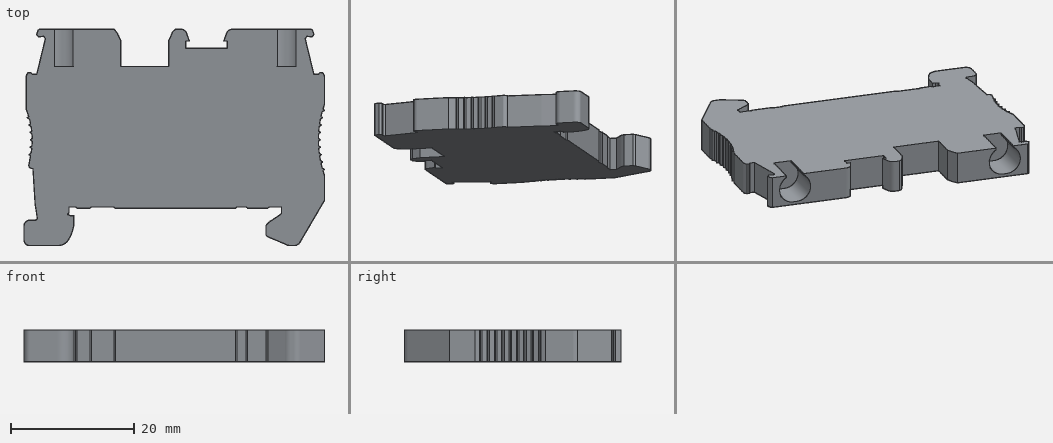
import cadquery as cq
import math

thickness = 5.2
height = 35.2
half_width = 24.25
foot_left = -24.6

corner_inset = 1 - math.sqrt(0.5)

grip_y = 17.2
grip_valley = 23.27
right_grip_half_span = 5.75
left_grip_end = (-23.6, 14.3)
left_grip_half_span = 4.95
rib_pitch = 1.2
rib_height = 0.3
rib_width = 0.44
rib_root = 0.2
right_rib_indices = range(-4, 5)
left_rib_indices = range(-2, 4)

ledge_x = -23.82
ledge_y = 12.52
ledge_radius = 0.55
flank_top_x = -23.15
flank_break = (-22.8, 6.8)
flank_bottom_x = -22.45
flank_bottom_radius = 0.35

foot_top = 4.15
foot_radius = 0.95
foot_toe_start = -19.1
foot_toe_mid = (-17.35, 0.95)
foot_right = -16.5
foot_toe_bulge = (-16.82, 2.02)
foot_toe_end = 3.2
foot_lip = 4.9
foot_notch_tip = (-17.55, 5.1)
foot_notch_top = 5.35

seat_half_width = 17.25
seat_high = 6.25
seat_pad = 6.08
seat_middle = 6.05
pad_left = (-15.95, -13.9)
pad_right = (11.75, 15.0)
middle_half_width = 9.75
land_slope = 0.25

hook_neck = 5.2
hook_shoulder = (15.7, 4.15)
hook_shoulder_mid = (15.1, 3.72)
hook_left = 14.7
hook_left_top = 3.25
hook_left_bottom = 1.75
hook_corner = (15.05, 1.42)
hook_heel_start = (17.9, 0.22)
hook_heel_flat_start = 18.7
hook_toe_corner = 19.94
hook_toe_tangent = 0.65
hook_side_y = 7.35

cut_overrun = 1.0

tab_top_x = 22.0
tab_tip = (22.55, 34.3)
tab_round_mid = (22.27, 35.03)
tab_round_end = (22.4, 34.72)
tab_under = (22.2, 33.9)
tab_root = (21.4, 34.0)
tab_throat = (21.12, 33.65)
shelf_inner = (22.52, 27.87)
shelf_step_x = 23.25
shelf_crest = (23.5, 28.15)
shelf_round_start = (23.9, 28.1)
shelf_round_mid = (24.14, 27.8)
shelf_round_end_y = 27.28

deep_floor = 29.15
notch_left = -8.85
notch_right = -1.08
flare_y = 33.3
flare_left = (-9.4, 34.5)
flare_left_top = -9.95
flare_right = (-0.45, 34.75)
flare_right_top = 0.05

pocket_floor = 32.1
pocket_x = 5.08
pocket_half_width = 3.35
pocket_half_mouth = 4.2
barb_y = 33.25
barb_length = 0.57
barb_rise = 1.25
barb_lean = 0.45

channel_x = 18.1
channel_opening = 3.0
channel_lip = 0.3
channel_radius = 2.35
channel_flat = 0.65


def extrude(path):
    """Close a path and extrude it through the full thickness."""
    return path.close().extrude(thickness)


def add_right_side(path):
    """Continue from the upper right corner down the concave grip to the hook."""
    return (
        path.lineTo(half_width, grip_y + right_grip_half_span)
        .threePointArc((grip_valley, grip_y), (half_width, grip_y - right_grip_half_span))
        .lineTo(half_width, hook_side_y)
    )


def add_hook(path):
    """Continue around the right hook up to the rail seat."""
    slope = math.atan2(hook_side_y, half_width - hook_toe_corner)
    toe_x = hook_toe_corner + hook_toe_tangent * math.cos(slope)
    toe_y = hook_toe_tangent * math.sin(slope)
    return (
        path.lineTo(toe_x, toe_y)
        .tangentArcPoint((hook_toe_corner - hook_toe_tangent, 0), relative=False)
        .lineTo(hook_heel_flat_start, 0)
        .tangentArcPoint(hook_heel_start, relative=False)
        .lineTo(*hook_corner)
        .lineTo(hook_left, hook_left_bottom)
        .lineTo(hook_left, hook_left_top)
        .threePointArc(hook_shoulder_mid, hook_shoulder)
        .lineTo(seat_half_width, hook_neck)
    )


def add_rail_seat(path):
    """Continue leftwards along the underside, over the two pads and the middle land."""
    path = path.lineTo(seat_half_width, seat_high)
    lands = (
        (pad_right, seat_pad),
        ((-middle_half_width, middle_half_width), seat_middle),
        (pad_left, seat_pad),
    )
    for (left, right), land_y in lands:
        path = (
            path.lineTo(right + land_slope, seat_high)
            .lineTo(right, land_y)
            .lineTo(left, land_y)
            .lineTo(left - land_slope, seat_high)
        )
    return path.lineTo(-seat_half_width, seat_high)


def add_foot(path):
    """Continue around the left foot, from its notch under the seat to its top."""
    lip_x = (foot_right + foot_notch_tip[0]) / 2
    corner = foot_radius * corner_inset
    return (
        path.lineTo(-seat_half_width, foot_notch_top)
        .lineTo(*foot_notch_tip)
        .lineTo(lip_x, foot_lip)
        .lineTo(foot_right, foot_lip)
        .lineTo(foot_right, foot_toe_end)
        .threePointArc(foot_toe_bulge, foot_toe_mid)
        .tangentArcPoint((foot_toe_start, 0), relative=False)
        .lineTo(foot_left + foot_radius, 0)
        .threePointArc((foot_left + corner, corner), (foot_left, foot_radius))
        .lineTo(foot_left, foot_top - foot_radius)
        .threePointArc((foot_left + corner, foot_top - corner), (foot_left + foot_radius, foot_top))
        .lineTo(flank_bottom_x - flank_bottom_radius, foot_top)
        .tangentArcPoint((flank_bottom_x, foot_top + flank_bottom_radius), relative=False)
    )


def add_left_side(path):
    """Continue up the tapering flank, around the ledge and up the left grip."""
    corner = ledge_radius * corner_inset
    return (
        path.lineTo(*flank_break)
        .lineTo(flank_top_x, ledge_y)
        .lineTo(ledge_x + ledge_radius, ledge_y)
        .threePointArc((ledge_x + corner, ledge_y + corner), (ledge_x, ledge_y + ledge_radius))
        .lineTo(*left_grip_end)
        .threePointArc((-grip_valley, grip_y), (-half_width, grip_y + left_grip_half_span))
    )


def make_body():
    """Plate with grips, feet and rail seat; its top edge is still plain."""
    path = cq.Workplane("XY").moveTo(-half_width, height).lineTo(half_width, height)
    for add_stretch in (add_right_side, add_hook, add_rail_seat, add_foot, add_left_side):
        path = add_stretch(path)
    return extrude(path)


def make_rib(side, index, half_span):
    """Triangular rib across the grip; side is +1 on the right and -1 on the left."""
    offset = index * rib_pitch
    sag = half_width - grip_valley
    surface = grip_valley + sag * (offset / half_span) ** 2
    rib_y = grip_y + offset
    root_x = side * (surface - rib_root)
    base_x = side * surface
    return extrude(
        cq.Workplane("XY")
        .moveTo(root_x, rib_y - rib_width / 2)
        .lineTo(base_x, rib_y - rib_width / 2)
        .lineTo(side * (surface + rib_height), rib_y)
        .lineTo(base_x, rib_y + rib_width / 2)
        .lineTo(root_x, rib_y + rib_width / 2)
    )


def make_corner_cut():
    """Waste around the right latch tab and the shelf below it."""
    beyond = half_width + cut_overrun
    shelf_y = shelf_inner[1]
    return extrude(
        cq.Workplane("XY")
        .moveTo(tab_top_x, height)
        .threePointArc(tab_round_mid, tab_round_end)
        .lineTo(*tab_tip)
        .lineTo(*tab_under)
        .lineTo(*tab_root)
        .lineTo(*tab_throat)
        .lineTo(*shelf_inner)
        .lineTo(shelf_step_x, shelf_y)
        .lineTo(*shelf_crest)
        .lineTo(*shelf_round_start)
        .threePointArc(shelf_round_mid, (half_width, shelf_round_end_y))
        .lineTo(beyond, shelf_round_end_y)
        .lineTo(beyond, height + cut_overrun)
        .lineTo(tab_top_x, height + cut_overrun)
    )


def make_notch():
    """Deep square notch left of the middle, flaring out at the top."""
    return extrude(
        cq.Workplane("XY")
        .moveTo(notch_left, deep_floor)
        .lineTo(notch_right, deep_floor)
        .lineTo(notch_right, flare_y)
        .lineTo(*flare_right)
        .lineTo(flare_right_top, height)
        .lineTo(flare_left_top, height)
        .lineTo(*flare_left)
        .lineTo(notch_left, flare_y)
    )


def make_pocket():
    """Shallow marker pocket with a snap barb and a rounded lead-in on each side."""
    barb_tip = pocket_half_width - barb_length
    right_half = extrude(
        cq.Workplane("XY")
        .moveTo(0, pocket_floor)
        .lineTo(pocket_half_width, pocket_floor)
        .lineTo(pocket_half_width, barb_y)
        .lineTo(barb_tip, barb_y)
        .lineTo(barb_tip + barb_lean, barb_y + barb_rise)
        .tangentArcPoint((pocket_half_mouth, height), relative=False)
        .lineTo(0, height)
    )
    pocket = right_half.union(right_half.mirror("YZ"))
    return pocket.translate((pocket_x, 0, 0))


def make_channel(x):
    """Channel with a narrow mouth, round undercut sides and a flat strip in its floor."""
    half_mouth = channel_opening / 2
    half_flat = channel_flat / 2
    lip_z = thickness - channel_lip
    centre_z = lip_z - math.sqrt(channel_radius**2 - (half_mouth - half_flat) ** 2)
    floor_z = centre_z - channel_radius
    bulge = half_flat + channel_radius
    section = (
        cq.Workplane("XZ", origin=(x, height, 0))
        .moveTo(-half_mouth, thickness)
        .lineTo(-half_mouth, lip_z)
        .threePointArc((-bulge, centre_z), (-half_flat, floor_z))
        .lineTo(half_flat, floor_z)
        .threePointArc((bulge, centre_z), (half_mouth, lip_z))
        .lineTo(half_mouth, thickness)
        .close()
    )
    return section.extrude(height - deep_floor)


result = make_body()
for rib_index in right_rib_indices:
    result = result.union(make_rib(1, rib_index, right_grip_half_span))
for rib_index in left_rib_indices:
    result = result.union(make_rib(-1, rib_index, left_grip_half_span))

corner_cut = make_corner_cut()
result = result.cut(corner_cut).cut(corner_cut.mirror("YZ"))
result = result.cut(make_notch()).cut(make_pocket())
for side in (-1, 1):
    result = result.cut(make_channel(side * channel_x))